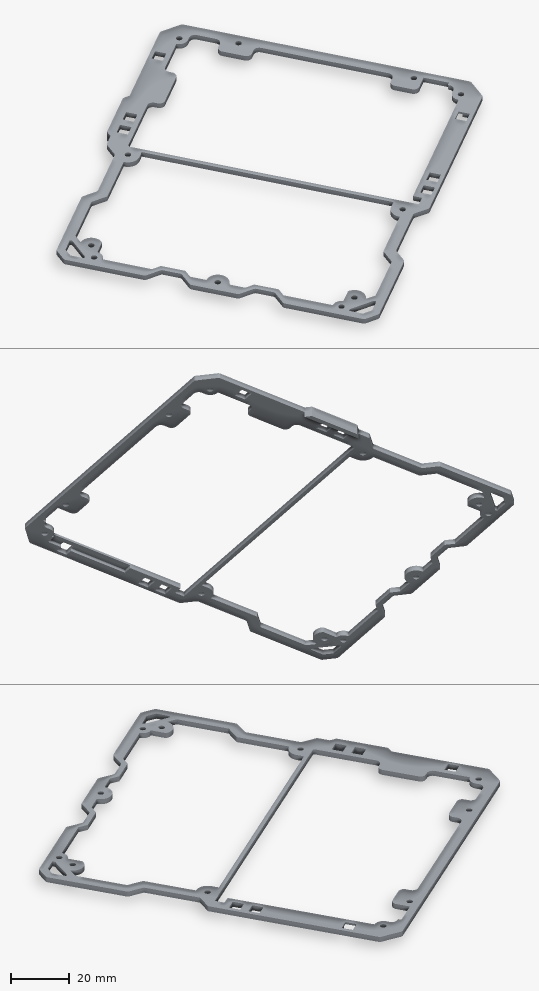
import cadquery as cq
import math

width = 114.8
length = 130.0
plate_thickness = 2.0
tab_height = 4.0
tab_reach = 1.8
wall = 4.0
hole_diameter = 2.2

half_width = width / 2
half_length = length / 2

top_chamfer = 6.0
bottom_chamfer = 4.0
outline_radius = 1.0
waist_inset = 4.3
waist_top = -2.85
waist_bottom = -27.3

bridge_x = 16.6
bridge_notch_top_width = 7.0
bridge_notch_depth = 4.5
bridge_wall = 2.0

upper_half_width = 50.2
crossbar_top = -1.75
crossbar_width = 1.5
upper_corner_radius = 0.8
corner_relief_top = 1.75
edge_relief_left = 35.4
edge_relief_right = 44.4
edge_relief_wall = 2.75

lower_corner_cut = 9.1

corner_opening_outer_x = 54.55
corner_opening_inner_x = 47.15
corner_opening_top = -54.75
corner_opening_bottom = -62.25
corner_opening_flat = 0.9
corner_opening_cut = 2.5

square_size = 4.0
square_x = 54.0
square_rows = (6.25, 13.25, 46.75)

top_corner_hole = (50.1, 57.7)
top_corner_lug_radius = 3.1
waist_hole = (48.85, -5.9)
waist_lug_radius = 4.1
strut_hole = (46.8, -55.1)
strut_lug_radius = 4.0
strut_lug_inner_x = 43.75
foot_hole = (44.0, -60.9)
foot_lug_radius = 3.0
middle_lug_radius = 4.0
top_tab_hole_y = 61.1
left_top_tab_hole_x = -30.1
right_top_tab_hole_x = 32.3
top_tab_bottom = 55.3
left_top_tab = (-36.1, -24.1)
right_top_tab = (25.3, edge_relief_left)

pad_bottom = 22.8
pad_top = 39.8
pad_inner_x = -45.1

thin_edge_bottom = 22.5
thin_edge_top = 54.0
thin_edge_thickness = 0.8

tab_bottom = 1.7
tab_top = 23.85

blend_radius = 2.0

upper_top = half_length - wall
crossbar_bottom = crossbar_top - crossbar_width
lower_bottom = -half_length + wall
lower_half_width = half_width - wall


def mirrored(points):
    """The points reflected in the YZ plane, in reverse order."""
    return [(-x, y) for x, y in reversed(points)]


def prism(points):
    """A plate of the given outline, with its top face at Z = 0."""
    return cq.Workplane("XY").polyline(points).close().extrude(-plate_thickness)


def block(x_min, x_max, y_min, y_max):
    return prism([(x_min, y_min), (x_max, y_min), (x_max, y_max), (x_min, y_max)])


def disc(center, radius):
    return cq.Workplane("XY").center(*center).circle(radius).extrude(-plate_thickness)


def round_edges(body, points, radius):
    """Round the upright edges that stand at the given plan points."""
    reach = 0.01
    for x, y in points:
        corner = cq.selectors.BoxSelector(
            (x - reach, y - reach, -plate_thickness), (x + reach, y + reach, 0)
        )
        body = body.edges(corner).fillet(radius)
    return body


def outer_plate():
    notch_half_top = bridge_notch_top_width / 2
    notch_half_bottom = notch_half_top + bridge_notch_depth
    waist_x = half_width - waist_inset
    right_side = [
        (bridge_x - notch_half_bottom, -half_length),
        (bridge_x - notch_half_top, -half_length + bridge_notch_depth),
        (bridge_x + notch_half_top, -half_length + bridge_notch_depth),
        (bridge_x + notch_half_bottom, -half_length),
        (half_width - bottom_chamfer, -half_length),
        (half_width, -half_length + bottom_chamfer),
        (half_width, waist_bottom - waist_inset),
        (waist_x, waist_bottom),
        (waist_x, waist_top - waist_inset),
        (half_width, waist_top),
        (half_width, half_length - top_chamfer),
        (half_width - top_chamfer, half_length),
    ]
    return prism(right_side + mirrored(right_side)).edges("|Z").fillet(outline_radius)


def lower_window():
    bend_shift = math.tan(math.pi / 8)
    arch_top = -half_length + bridge_notch_depth + bridge_wall
    arch_half_top = bridge_notch_top_width / 2 + bridge_wall * bend_shift
    arch_half_bottom = arch_half_top + arch_top - lower_bottom
    waist_x = half_width - waist_inset - wall
    bend_y = waist_bottom - wall * bend_shift
    right_side = [
        (bridge_x - arch_half_bottom, lower_bottom),
        (bridge_x - arch_half_top, arch_top),
        (bridge_x + arch_half_top, arch_top),
        (bridge_x + arch_half_bottom, lower_bottom),
        (lower_half_width - lower_corner_cut, lower_bottom),
        (lower_half_width, lower_bottom + lower_corner_cut),
        (lower_half_width, bend_y - (lower_half_width - waist_x)),
        (waist_x, bend_y),
        (waist_x, crossbar_bottom),
    ]
    window = prism(right_side + mirrored(right_side))

    hole_x, hole_y = waist_hole
    foot_x, foot_y = foot_hole
    strut_x, strut_y = strut_hole
    for side in (-1, 1):
        window = window.cut(disc((side * hole_x, hole_y), waist_lug_radius))
        inner_x = side * (hole_x - waist_lug_radius)
        outer_x = side * half_width
        window = window.cut(block(*sorted((inner_x, outer_x)), hole_y, crossbar_bottom))

        strut_lug = disc((side * strut_x, strut_y), strut_lug_radius)
        lug_limit = sorted((side * strut_lug_inner_x, outer_x))
        strut_lug = strut_lug.intersect(block(*lug_limit, -half_length, 0))
        lug_web = block(*sorted((side * strut_lug_inner_x, side * strut_x)), foot_y, strut_y)
        window = window.cut(strut_lug).cut(lug_web)
        window = window.cut(disc((side * foot_x, foot_y), foot_lug_radius))
    return window.cut(disc((0, lower_bottom), middle_lug_radius))


def upper_window():
    window = block(-upper_half_width, upper_half_width, crossbar_top, upper_top)
    window = round_edges(window, [(-upper_half_width, crossbar_top)], upper_corner_radius)

    window = window.union(block(0, lower_half_width, crossbar_top, corner_relief_top))
    window = window.union(
        block(edge_relief_left, edge_relief_right, top_tab_bottom, half_length - edge_relief_wall)
    )

    hole_x, hole_y = top_corner_hole
    lug_edge = hole_x - top_corner_lug_radius
    for side in (-1, 1):
        window = window.cut(disc((side * hole_x, hole_y), top_corner_lug_radius))
        window = window.cut(
            block(*sorted((side * lug_edge, side * half_width)), hole_y, upper_top)
        )

    for left, right in (left_top_tab, right_top_tab):
        window = window.cut(block(left, right, top_tab_bottom, half_length))
    window = window.cut(block(-half_width, pad_inner_x, pad_bottom, pad_top))

    blended = [
        (-lug_edge, upper_top),
        (lug_edge, upper_top),
        (left_top_tab[0], upper_top),
        (left_top_tab[0], top_tab_bottom),
        (left_top_tab[1], top_tab_bottom),
        (left_top_tab[1], upper_top),
        (right_top_tab[0], upper_top),
        (right_top_tab[0], top_tab_bottom),
        (right_top_tab[1], top_tab_bottom),
        (-upper_half_width, pad_top),
        (pad_inner_x, pad_top),
        (pad_inner_x, pad_bottom),
        (-upper_half_width, pad_bottom),
    ]
    return round_edges(window, blended, blend_radius)


def side_tab():
    outer_x = -half_width - tab_reach
    outline = [
        (-half_width, tab_bottom),
        (-half_width, tab_top),
        (outer_x, tab_top - tab_reach),
        (outer_x, tab_bottom + tab_reach),
    ]
    return cq.Workplane("XY").polyline(outline).close().extrude(-tab_height)


def thin_edge_recess():
    recess = block(upper_half_width, lower_half_width, thin_edge_bottom, thin_edge_top)
    return recess.translate((0, 0, -thin_edge_thickness))


def corner_openings():
    outline = [
        (corner_opening_outer_x, corner_opening_top),
        (corner_opening_outer_x - corner_opening_flat, corner_opening_top),
        (corner_opening_inner_x, corner_opening_bottom + corner_opening_flat),
        (corner_opening_inner_x, corner_opening_bottom),
        (corner_opening_outer_x - corner_opening_cut, corner_opening_bottom),
        (corner_opening_outer_x, corner_opening_bottom + corner_opening_cut),
    ]
    return prism(outline).union(prism(mirrored(outline)))


def square_openings():
    centers = [(side * square_x, y) for side in (-1, 1) for y in square_rows]
    squares = cq.Workplane("XY").pushPoints(centers).rect(square_size, square_size)
    return squares.extrude(-plate_thickness)


def mounting_holes():
    centers = [
        (0, lower_bottom),
        (left_top_tab_hole_x, top_tab_hole_y),
        (right_top_tab_hole_x, top_tab_hole_y),
    ]
    for x, y in (top_corner_hole, waist_hole, strut_hole, foot_hole):
        centers += [(-x, y), (x, y)]
    return cq.Workplane("XY").pushPoints(centers).circle(hole_diameter / 2).extrude(-plate_thickness)


openings = [
    lower_window(),
    upper_window(),
    thin_edge_recess(),
    corner_openings(),
    square_openings(),
    mounting_holes(),
]

result = outer_plate()
for opening in openings:
    result = result.cut(opening)
result = result.union(side_tab())